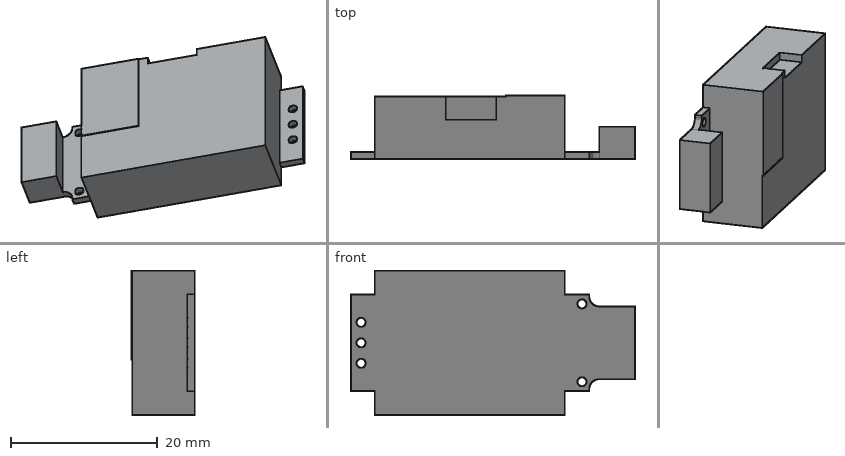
import cadquery as cq

board_thickness = 1.0
board_height = 13.2
board_end = 32.55

housing_start = 3.25
housing_end = 29.2
housing_height = 19.7
housing_depth = 8.57
housing_top = housing_height / 2

pad_start = 21.15
pad_height = 12.2
pad_thickness = 0.1

recess_start = 12.95
recess_end = 19.85
recess_front = 5.4
recess_drop = 1.05

connector_start = 33.87
connector_end = 38.8
connector_height = 9.97
connector_depth = 4.42
neck_radius = connector_start - board_end

margin = 0.05

hole_diameter = 1.2
pin_hole_x = 1.4
pin_hole_pitch = 2.8
mount_hole_x = 31.55
mount_hole_z = 5.3


def block(x_start, x_end, y_start, y_end, z_start, z_end):
    """Box between two limits on each axis."""
    size = (x_end - x_start, y_end - y_start, z_end - z_start)
    return cq.Workplane("XY").box(*size, centered=False).translate((x_start, y_start, z_start))


def centred_block(x_start, x_end, depth, height):
    """Box standing on the Y = 0 face and centred on Z = 0."""
    return block(x_start, x_end, 0, depth, -height / 2, height / 2)


def make_board():
    """Board with a narrow neck, filleted at both shoulders and pierced by holes."""
    wide = centred_block(0, board_end, board_thickness, board_height)
    neck = centred_block(0, connector_end, board_thickness, connector_height)
    shoulder_edges = cq.selectors.BoxSelector(
        (board_end - margin, -margin, -connector_height / 2 - margin),
        (board_end + margin, board_thickness + margin, connector_height / 2 + margin),
    )
    board = wide.union(neck).edges("|Y").edges(shoulder_edges).fillet(neck_radius)

    pin_holes = [(pin_hole_x, row * pin_hole_pitch) for row in (-1, 0, 1)]
    mount_holes = [(mount_hole_x, side * mount_hole_z) for side in (-1, 1)]
    drills = (
        cq.Workplane("XZ")
        .pushPoints(pin_holes + mount_holes)
        .circle(hole_diameter / 2)
        .extrude(-board_thickness)
    )
    return board.cut(drills)


def make_housing():
    """Housing block with its raised back pad and upper recess."""
    housing = centred_block(housing_start, housing_end, housing_depth, housing_height)
    pad = block(
        pad_start, housing_end,
        0, housing_depth + pad_thickness,
        housing_top - pad_height, housing_top,
    )
    recess = block(
        recess_start, recess_end,
        recess_front, housing_depth,
        housing_top - recess_drop, housing_top,
    )
    return housing.union(pad).cut(recess)


connector = centred_block(connector_start, connector_end, connector_depth, connector_height)
result = make_board().union(make_housing()).union(connector)